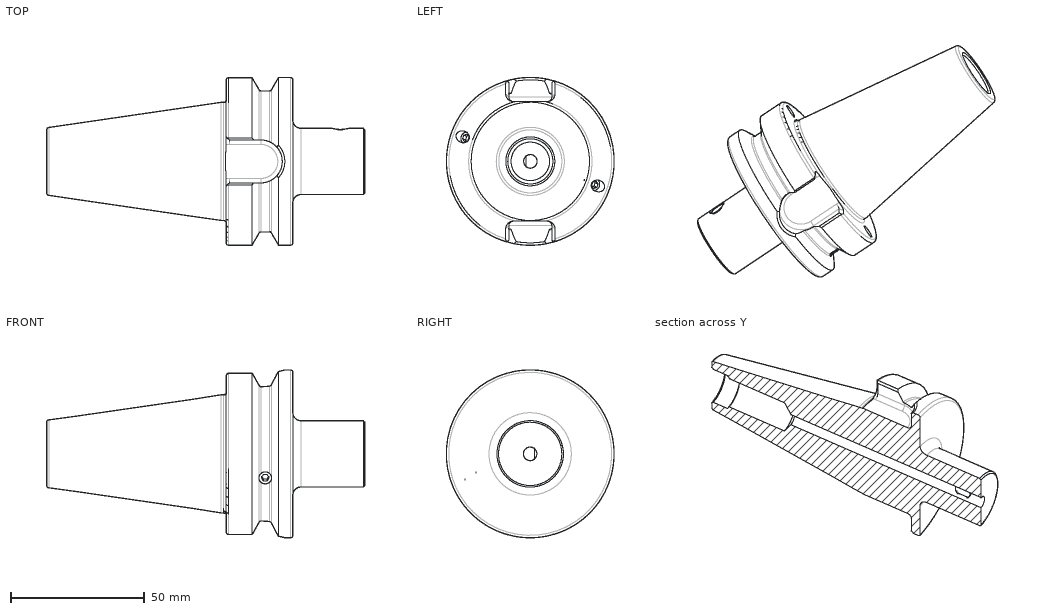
import cadquery as cq
import math


taper_length = 65.4
gauge_diameter = 44.4
taper_ratio = 7 / 24
small_end_diameter = gauge_diameter - taper_length * taper_ratio
edge_rounding = 1.0

flange_start = 67.3
flange_end = 92.4
flange_diameter = 63.0
groove_centre = 82.0
groove_width = 9.9
groove_diameter = 53.0
groove_flank_angle = 30
groove_corner_radius = 0.7

overall_length = 119.4
spigot_diameter = 25.0
spigot_root_radius = 3.0
spigot_end_chamfer = 0.6
spigot_hole_diameter = 6.5
spigot_hole_position = 110.2

entry_diameter = 17.0
entry_depth = 7.0
entry_chamfer = 0.7
entry_floor_angle = 60
thread_bore_diameter = 14.5
thread_bore_depth = 32.2
drill_point_angle = 118
coolant_diameter = 5.0

slot_width = 16.1
slot_floor_height = 22.5
slot_floor_radius = 1.7
slot_end_centre = 80.4
slot_front = 64.5
slot_rim_chamfer = 1.0
slot_face_chamfer = 1.2

plug_azimuth = 20
plug_length = 4.8
socket_width = 2.5
socket_depth = 2.1
face_plug_diameter = 4.3
face_plug_recess = 2.3
face_hole_radius = 27.0
face_hole_tilt = 33
groove_plug_diameter = 4.8
groove_plug_recess = 0.2

spigot_screw_tip = 1.5
spigot_screw_recess = 0.7

flange_radius = flange_diameter / 2
groove_radius = groove_diameter / 2
X_AXIS = ((0, 0, 0), (1, 0, 0))


class RingAt(cq.Selector):
    """Selects circular edges about the X axis by position and radius."""

    def __init__(self, position, radius):
        self.position = position
        self.radius = radius

    def filter(self, objects):
        tolerance = 0.001
        return [
            edge
            for edge in objects
            if edge.geomType() == "CIRCLE"
            and abs(edge.radius() - self.radius) < tolerance
            and abs(edge.arcCenter().x - self.position) < tolerance
        ]


def make_blank():
    """Turned outline of the holder: taper, flange with V groove, and spigot."""
    spigot_radius = spigot_diameter / 2
    gauge_radius = gauge_diameter / 2
    rim_groove_half = groove_width / 2
    flank_run = (flange_radius - groove_radius) * math.tan(math.radians(groove_flank_angle))
    floor_groove_half = rim_groove_half - flank_run
    blank = (
        cq.Workplane("XY")
        .moveTo(0, 0)
        .lineTo(0, small_end_diameter / 2)
        .lineTo(taper_length, gauge_radius)
        .lineTo(flange_start, gauge_radius)
        .lineTo(flange_start, flange_radius)
        .lineTo(groove_centre - rim_groove_half, flange_radius)
        .lineTo(groove_centre - floor_groove_half, groove_radius)
        .lineTo(groove_centre + floor_groove_half, groove_radius)
        .lineTo(groove_centre + rim_groove_half, flange_radius)
        .lineTo(flange_end, flange_radius)
        .lineTo(flange_end, spigot_radius)
        .lineTo(overall_length, spigot_radius)
        .lineTo(overall_length, 0)
        .close()
        .revolve(360, *X_AXIS)
    )
    blank = blank.edges(RingAt(0, small_end_diameter / 2)).fillet(edge_rounding)
    blank = blank.edges(RingAt(flange_start, gauge_radius)).fillet(edge_rounding)
    blank = blank.edges(RingAt(flange_start, flange_radius)).fillet(edge_rounding)
    blank = blank.edges(RingAt(flange_end, flange_radius)).fillet(edge_rounding)
    for side in (-1, 1):
        corner = RingAt(groove_centre + side * floor_groove_half, groove_radius)
        blank = blank.edges(corner).fillet(groove_corner_radius)
    blank = blank.edges(RingAt(flange_end, spigot_radius)).fillet(spigot_root_radius)
    return blank.edges(RingAt(overall_length, spigot_radius)).chamfer(spigot_end_chamfer)


def make_bore():
    """Cutter for the stepped central bore."""
    entry_radius = entry_diameter / 2
    thread_radius = thread_bore_diameter / 2
    coolant_radius = coolant_diameter / 2
    step_run = (entry_radius - thread_radius) / math.tan(math.radians(entry_floor_angle))
    point_run = (thread_radius - coolant_radius) / math.tan(math.radians(drill_point_angle / 2))
    return (
        cq.Workplane("XY")
        .moveTo(0, 0)
        .lineTo(0, entry_radius + entry_chamfer)
        .lineTo(entry_chamfer, entry_radius)
        .lineTo(entry_depth, entry_radius)
        .lineTo(entry_depth + step_run, thread_radius)
        .lineTo(thread_bore_depth, thread_radius)
        .lineTo(thread_bore_depth + point_run, coolant_radius)
        .lineTo(overall_length, coolant_radius)
        .lineTo(overall_length, 0)
        .close()
        .revolve(360, *X_AXIS)
    )


def make_slot():
    """Cutter for the upper drive slot: open to the front, round at the back, filleted floor."""
    half_width = slot_width / 2
    return (
        cq.Workplane("XY", origin=(0, 0, slot_floor_height))
        .moveTo(slot_front, -half_width)
        .lineTo(slot_end_centre, -half_width)
        .threePointArc((slot_end_centre + half_width, 0), (slot_end_centre, half_width))
        .lineTo(slot_front, half_width)
        .close()
        .extrude(flange_radius)
        .edges("<Z").edges("not <X")
        .fillet(slot_floor_radius)
    )


def make_slot_face_chamfer():
    """Cutter that chamfers the side and corner edges of the slot on the flange front face."""
    section = cq.Sketch().rect(slot_width, flange_radius).vertices("<Y").fillet(slot_floor_radius)
    wide_width = slot_width + 2 * slot_face_chamfer
    wide_section = (
        cq.Sketch()
        .rect(wide_width, flange_radius)
        .vertices("<Y")
        .fillet(slot_floor_radius + slot_face_chamfer)
    )
    middle = slot_floor_height + flange_radius / 2
    offset = cq.Location(cq.Vector(0, 0, slot_face_chamfer))
    return (
        cq.Workplane("YZ", origin=(flange_start, 0, middle))
        .placeSketch(wide_section, section.moved(offset))
        .loft(ruled=True)
    )


def make_slot_side_chamfers():
    """Wedges that chamfer the two straight slot edges on the outside of the flange."""
    half_width = slot_width / 2
    edge_height = math.sqrt(flange_radius**2 - half_width**2)
    rise = 2 * slot_rim_chamfer
    bottom = edge_height - slot_rim_chamfer
    wedge = (
        cq.Workplane("YZ", origin=(slot_front, 0, 0))
        .moveTo(half_width, bottom)
        .lineTo(half_width + rise, bottom + rise)
        .lineTo(half_width, bottom + rise)
        .close()
        .extrude(groove_centre - slot_front)
    )
    return wedge.union(wedge.mirror("XZ"))


def chamfer_slot_ends(body):
    """Chamfer the round end of both slots where it breaks through the outside of the flange."""
    half_width = slot_width / 2
    for side in (-1, 1):
        end_edge = cq.selectors.BoxSelector(
            (slot_end_centre, -half_width, side * (flange_radius - 1.2)),
            (flange_end, half_width, side * (flange_radius + 1.2)),
            boundingbox=True,
        )
        body = body.edges(end_edge).chamfer(slot_rim_chamfer)
    return body


def spigot_cylinder(outer_end):
    """Cylinder along +Y in the spigot, from the screw tip to a given distance off the axis."""
    return (
        cq.Workplane("XZ", origin=(spigot_hole_position, spigot_screw_tip, 0))
        .circle(spigot_hole_diameter / 2)
        .extrude(spigot_screw_tip - outer_end)
    )


def radial(angle):
    """Unit vector square to the X axis, turned by an angle from +Y towards +Z."""
    turn = math.radians(angle)
    return cq.Vector(0, math.cos(turn), math.sin(turn))


def groove_plug_frame(angle):
    """Plane on the groove floor whose normal points straight out of the holder."""
    outward = radial(angle)
    mouth = cq.Vector(groove_centre, 0, 0) + outward * groove_radius
    return cq.Plane(mouth, xDir=(1, 0, 0), normal=outward)


def face_plug_frame(angle):
    """Plane at the flange front face whose normal leans outwards from the face."""
    tilt = math.radians(face_hole_tilt)
    outward = radial(angle)
    mouth = cq.Vector(flange_start, 0, 0) + outward * face_hole_radius
    normal = cq.Vector(-math.cos(tilt), 0, 0) + outward * math.sin(tilt)
    return cq.Plane(mouth, xDir=radial(angle + 90), normal=normal)


def make_plug_hole(frame, diameter, recess):
    """Cutter for the blind hole that holds a plug and runs out past its mouth."""
    return (
        cq.Workplane(frame)
        .workplane(offset=-recess - plug_length)
        .circle(diameter / 2)
        .extrude(recess + plug_length + diameter)
    )


def make_plug(frame, diameter, recess):
    """Grub screw with a hexagon socket in its outer end."""
    socket_corner_diameter = socket_width / math.cos(math.radians(30))
    body = (
        cq.Workplane(frame)
        .workplane(offset=-recess - plug_length)
        .circle(diameter / 2)
        .extrude(plug_length)
    )
    socket = (
        cq.Workplane(frame)
        .workplane(offset=-recess - socket_depth)
        .polygon(6, socket_corner_diameter)
        .extrude(socket_depth)
    )
    return body.cut(socket)


holder = make_blank().cut(make_bore())
slot = make_slot()
slot_chamfers = (make_slot_side_chamfers(), make_slot_face_chamfer())
for turn in (0, 180):
    holder = holder.cut(slot.rotate(*X_AXIS, turn))
holder = chamfer_slot_ends(holder)
for turn in (0, 180):
    for chamfer_cutter in slot_chamfers:
        holder = holder.cut(chamfer_cutter.rotate(*X_AXIS, turn))

groove_frame = groove_plug_frame(plug_azimuth + 180)
holder = holder.cut(make_plug_hole(groove_frame, groove_plug_diameter, groove_plug_recess))
groove_plug = make_plug(groove_frame, groove_plug_diameter, groove_plug_recess)

face_plugs = []
for azimuth in (plug_azimuth, plug_azimuth + 180):
    face_frame = face_plug_frame(azimuth)
    holder = holder.cut(make_plug_hole(face_frame, face_plug_diameter, face_plug_recess))
    face_plugs.append(make_plug(face_frame, face_plug_diameter, face_plug_recess).val())

holder = holder.cut(spigot_cylinder(spigot_diameter))
spigot_screw = spigot_cylinder(spigot_diameter / 2 - spigot_screw_recess)

result = cq.Compound.makeCompound([holder.val(), groove_plug.val(), *face_plugs, spigot_screw.val()])